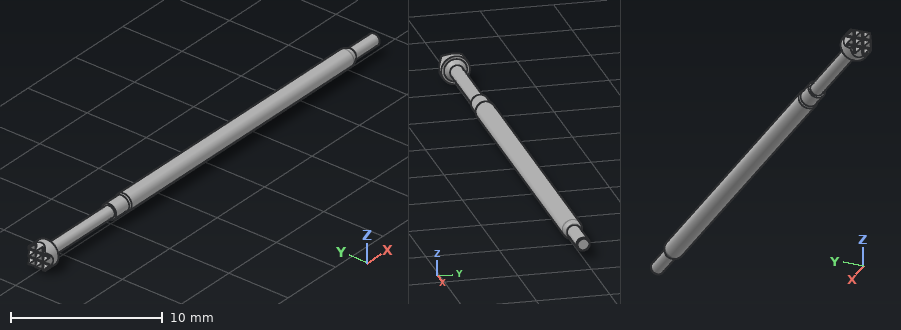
import cadquery as cq
import math

total_length = 35.8

head_radius = 0.985
head_length = 1.2
cone_start_radius = 0.8
plunger_radius = 0.45
cone_end = head_length + cone_start_radius - plunger_radius

collar_start = 7.77
collar_radius = 0.6

barrel_start = 9.13
barrel_bevel_length = 0.18
barrel_radius = 0.68
barrel_end = 33.25
lip_length = 0.1
rear_round_length = 0.43
rear_round_radius = 0.65

tail_radius = 0.45
tail_chamfer = 0.07

tooth_pitch = 0.6
flank_slope = math.tan(math.radians(30))
groove_depth = 0.43
taper_sides = 4
overshoot = 0.35
cutter_half_width = head_radius + overshoot


def make_turned_body():
    """Revolve the stepped half profile about the X axis."""
    round_end = barrel_end - lip_length
    round_start = round_end - rear_round_length
    round_center_height = barrel_radius - rear_round_radius
    round_sweep = math.asin(rear_round_length / rear_round_radius)

    def round_point(angle):
        return (
            round_start + rear_round_radius * math.sin(angle),
            round_center_height + rear_round_radius * math.cos(angle),
        )

    profile = (
        cq.Workplane("XY")
        .lineTo(0, head_radius)
        .lineTo(head_length, head_radius)
        .lineTo(head_length, cone_start_radius)
        .lineTo(cone_end, plunger_radius)
        .lineTo(collar_start, plunger_radius)
        .lineTo(collar_start, collar_radius)
        .lineTo(barrel_start, collar_radius)
        .lineTo(barrel_start + barrel_bevel_length, barrel_radius)
        .lineTo(round_start, barrel_radius)
        .threePointArc(round_point(round_sweep / 2), round_point(round_sweep))
        .lineTo(barrel_end, tail_radius)
        .lineTo(total_length - tail_chamfer, tail_radius)
        .lineTo(total_length, tail_radius - tail_chamfer)
        .lineTo(total_length, 0)
        .close()
    )
    return profile.revolve(360, (0, 0, 0), (1, 0, 0))


def extrude_across_head(section):
    """Prism along Y, through the whole head, from a section of (X, Z) points."""
    return cq.Workplane("XZ").polyline(section).close().extrude(cutter_half_width, both=True)


def make_taper_cutter():
    """Wedge that leaves the sloping outer flank of one outside row of teeth."""
    outer = head_radius + overshoot
    return extrude_across_head([
        (-overshoot, tooth_pitch - overshoot * flank_slope),
        ((outer - tooth_pitch) / flank_slope, outer),
        (-overshoot, outer),
    ])


def make_groove_cutter(offset):
    """Narrow-floored V groove at the given height, between two rows of teeth."""
    half_mouth = tooth_pitch / 2 + overshoot * flank_slope
    half_floor = tooth_pitch / 2 - groove_depth * flank_slope
    return extrude_across_head([
        (groove_depth, offset + half_floor),
        (-overshoot, offset + half_mouth),
        (-overshoot, offset - half_mouth),
        (groove_depth, offset - half_floor),
    ])


def turn_about_axis(body, angle):
    return body.rotate((0, 0, 0), (1, 0, 0), angle)


def cut_crown(body):
    """Taper the tip on all sides, then cut crossed pairs of grooves into it."""
    taper_cutter = make_taper_cutter()
    for side in range(taper_sides):
        body = body.cut(turn_about_axis(taper_cutter, side * 360 / taper_sides))
    for offset in (-tooth_pitch / 2, tooth_pitch / 2):
        groove_cutter = make_groove_cutter(offset)
        for angle in (0, 90):
            body = body.cut(turn_about_axis(groove_cutter, angle))
    return body


result = cut_crown(make_turned_body())